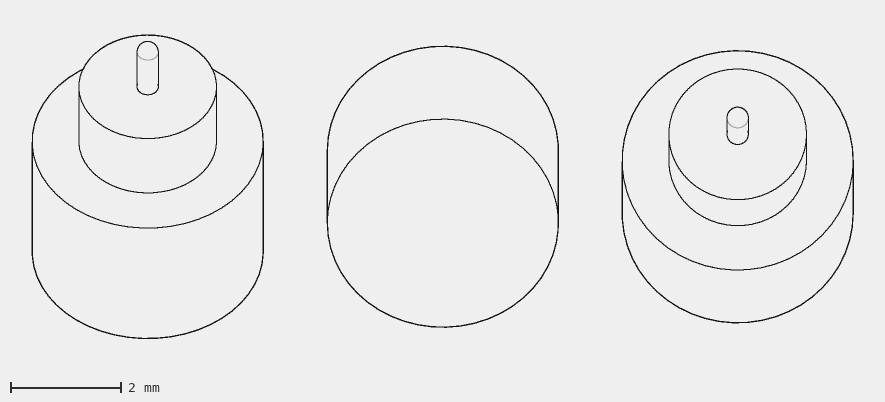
import cadquery as cq

total_height = 5.7
body_diameter = 4.2
body_height = 3.05
collar_diameter = 2.5
collar_height = 1.5
pin_diameter = 0.39

pin_radius = pin_diameter / 2
collar_top = body_height + collar_height
pin_length = total_height - collar_top


def make_pin():
    """Contact pin with a hemispherical tip, standing on the collar."""
    shaft_length = pin_length - pin_radius
    shaft = cq.Workplane("XY").workplane(offset=collar_top).circle(pin_radius).extrude(shaft_length)
    tip = cq.Workplane("XY").sphere(pin_radius).translate((0, 0, collar_top + shaft_length))
    return shaft.union(tip)


body = cq.Workplane("XY").circle(body_diameter / 2).extrude(body_height)
collar = cq.Workplane("XY").circle(collar_diameter / 2).extrude(collar_top)

result = body.union(collar).union(make_pin())